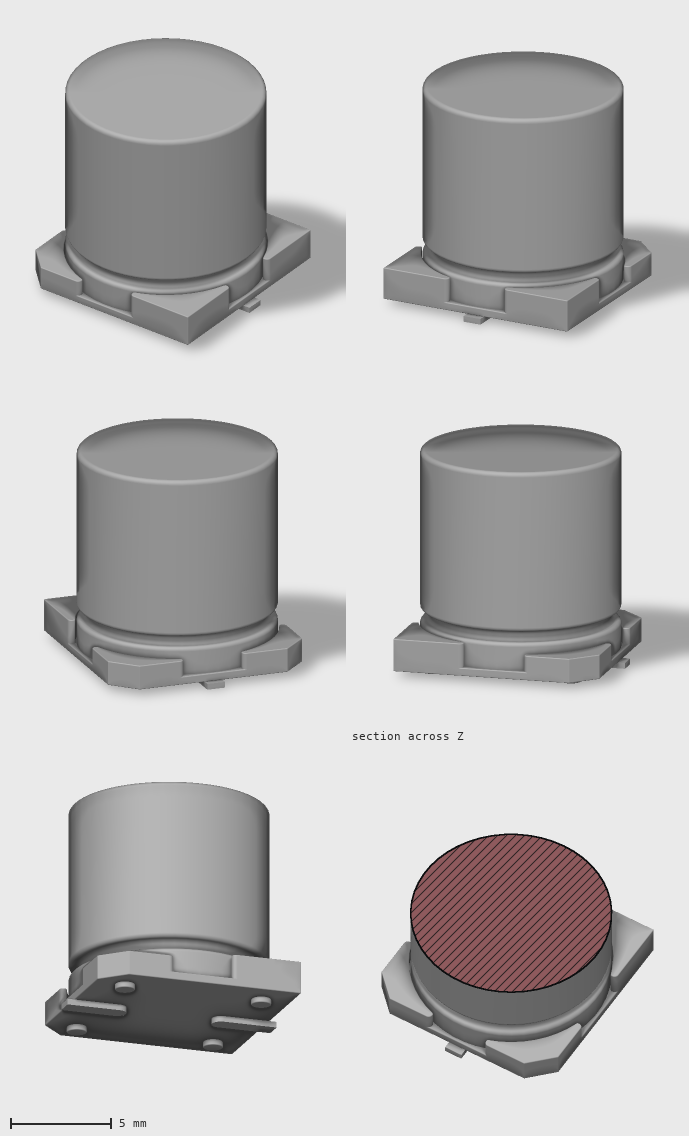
import cadquery as cq
import math


lead_span = 11.0
overall_height = 10.8
base_side = 10.3

can_radius = 10.0 / 2
neck_radius = 9.0 / 2
can_top_round = 0.23
neck_height = 2.38
neck_land = 0.18
crimp_round = 0.2

base_bottom = 0.3
base_floor = 0.7
low_post_top = 1.54
high_post_top = 1.95
corner_cut = 1.23
seat_radius = can_radius + 0.07
notch_width = 3.12
post_outer_round = 0.22
post_inner_round = 0.11
edge_round = 0.05

lead_width = 0.95
lead_inner_end = 2.27
lead_tip_length = 0.52
foot_radius = 1.0 / 2
foot_offset = 3.59

half_side = base_side / 2
tolerance = 0.001


def make_can():
    """Can revolved from a half profile, with rounded bends above and below the neck."""
    neck_low = neck_height - neck_land / 2
    neck_high = neck_height + neck_land / 2
    ledge_low = neck_low - crimp_round
    ledge_high = neck_high + crimp_round
    bead_low = ledge_low - crimp_round
    shoulder = ledge_high + crimp_round
    inner_x = neck_radius + crimp_round
    outer_x = can_radius - crimp_round

    crimp_mid = crimp_round * math.sqrt(0.5)

    return (
        cq.Workplane("XZ")
        .moveTo(0, base_floor)
        .lineTo(can_radius, base_floor)
        .lineTo(can_radius, bead_low)
        .threePointArc((outer_x + crimp_mid, bead_low + crimp_mid), (outer_x, ledge_low))
        .lineTo(inner_x, ledge_low)
        .threePointArc((inner_x - crimp_mid, neck_low - crimp_mid), (neck_radius, neck_low))
        .lineTo(neck_radius, neck_high)
        .threePointArc((inner_x - crimp_mid, neck_high + crimp_mid), (inner_x, ledge_high))
        .lineTo(outer_x, ledge_high)
        .threePointArc((outer_x + crimp_mid, shoulder - crimp_mid), (can_radius, shoulder))
        .lineTo(can_radius, overall_height)
        .lineTo(0, overall_height)
        .close()
        .revolve(360, (0, 0, 0), (0, 1, 0))
        .faces(">Z")
        .edges()
        .fillet(can_top_round)
    )


def block(x_min, x_max, y_min, y_max, z_min, z_max):
    """Box given by its limits along each axis."""
    sizes = (x_max - x_min, y_max - y_min, z_max - z_min)
    return cq.Workplane("XY").box(*sizes, centered=False).translate((x_min, y_min, z_min))


def edges_near(x, y):
    """Filter for upright edges at (x, y), its mirror images and its quarter turns."""
    wanted = sorted((x, y))

    def matches(edge):
        center = edge.Center()
        found = sorted((abs(center.x), abs(center.y)))
        return all(abs(f - w) < tolerance for f, w in zip(found, wanted))

    return matches


def is_outer_corner(edge):
    """True for the upright edges at the square and the cut corners of the base."""
    center = edge.Center()
    return abs(center.x) + abs(center.y) > base_side - corner_cut - tolerance


def is_notch_sill(edge):
    """True for the outer edges of the notch floors."""
    center = edge.Center()
    on_floor = abs(center.z - base_floor) < tolerance
    on_side = max(abs(center.x), abs(center.y)) > half_side - tolerance
    return on_floor and on_side


def faces_at(height):
    """Filter for level faces at the given height."""
    return lambda face: abs(face.Center().z - height) < tolerance


def make_base():
    """Square base with two cut corners, a round can seat and a notch in each side."""
    base = block(-half_side, half_side, -half_side, half_side, base_bottom, low_post_top)
    base = base.edges("|Z and <X").chamfer(corner_cut)
    base = base.union(block(0, half_side, -half_side, half_side, base_bottom, high_post_top))

    post_height = high_post_top - base_floor
    floor = cq.Workplane("XY").workplane(offset=base_floor)
    base = base.cut(floor.circle(seat_radius).extrude(post_height))
    base = base.cut(floor.rect(notch_width, 2 * base_side).extrude(post_height))
    base = base.cut(floor.rect(2 * base_side, notch_width).extrude(post_height))

    half_notch = notch_width / 2
    seat_corner = math.sqrt(seat_radius**2 - half_notch**2)
    base = base.edges("|Z").filter(edges_near(half_notch, half_side)).fillet(post_outer_round)
    base = base.edges("|Z").filter(edges_near(half_notch, seat_corner)).fillet(post_inner_round)

    base = base.edges("|Z").filter(is_outer_corner).fillet(edge_round)
    base = base.faces("<Z").edges().fillet(edge_round)
    base = base.edges("|X or |Y").filter(is_notch_sill).fillet(edge_round)
    for post_top in (low_post_top, high_post_top):
        base = base.faces("|Z").filter(faces_at(post_top)).edges().fillet(edge_round)
    return base


def make_lead(side):
    """Flat terminal under the base with a rounded inner tip; side is +1 or -1."""
    half_width = lead_width / 2
    straight_end = lead_inner_end + lead_tip_length
    return (
        cq.Workplane("XY")
        .moveTo(side * lead_span / 2, -half_width)
        .lineTo(side * straight_end, -half_width)
        .threePointArc((side * lead_inner_end, 0), (side * straight_end, half_width))
        .lineTo(side * lead_span / 2, half_width)
        .close()
        .extrude(base_bottom)
    )


def make_feet():
    """Four round feet under the corners of the base."""
    return (
        cq.Workplane("XY")
        .rect(2 * foot_offset, 2 * foot_offset, forConstruction=True)
        .vertices()
        .circle(foot_radius)
        .extrude(base_bottom)
        .edges("%CIRCLE")
        .fillet(edge_round)
    )


result = make_base().union(make_can()).union(make_feet())
for lead_side in (-1, 1):
    result = result.union(make_lead(lead_side))